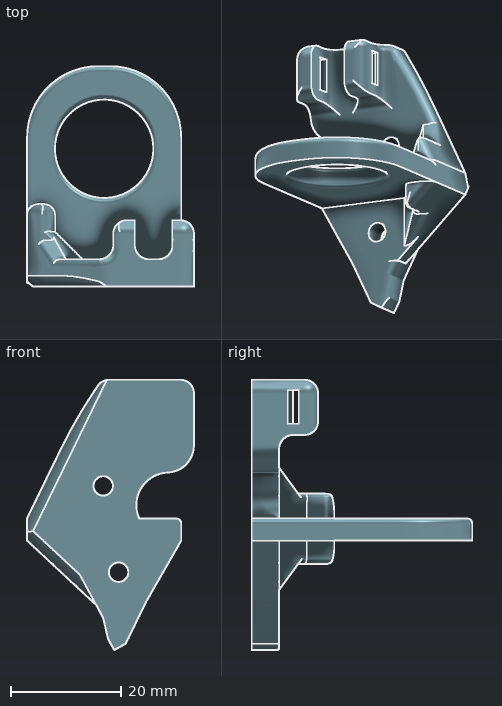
import cadquery as cq
import math


HEIGHT = 49.05
WIDTH = 30.3
DEPTH = 40.0

PLATE_WIDTH = 28.0
PLATE_BOTTOM = 19.85
PLATE_THICKNESS = 4.0
PLATE_TOP = PLATE_BOTTOM + PLATE_THICKNESS
PLATE_CORNER_RADIUS = 13.0
RING_HOLE_DIAMETER = 17.8
RING_HOLE_Y = 25.0
PLATE_EDGE_RADIUS = 1.0

WALL_THICKNESS = 5.0
SOFT_RADIUS = 2.5
BACK_EDGE_RADIUS = 1.45
FRONT_CHAMFER = 2.0
LEFT_SLOPE = math.tan(math.radians(64.0))
LEFT_STRAIGHT_TOP = 36.25
TOP_LEFT_X = 13.65
NOTCH_RADIUS = 5.9
NOTCH_X = 25.75
NOTCH_Z = 26.3
LOBE_RADIUS = 5.0
LOWER_LEFT_X = 12.25
LOWER_LEFT_Z = 8.45
TAIL_LEFT = [(9.65, 13.55), (13.8, 5.9), (14.7, 1.95), (15.85, 0.0)]
TAIL_RIGHT = [(17.9, 1.15), (21.65, 8.83)]
SCREW_HOLE_DIAMETER = 3.5
SCREW_HOLES = [(13.85, 29.75), (16.6, 14.1)]

HOOK_REACH = 12.05
HOOK_BOTTOM = 39.0
HOOK_LEFT = 15.65
ARM_WIDTH = 3.9
WINDOW_FRONT = 6.5
WINDOW_BACK = 8.55
WINDOW_BOTTOM = 41.05
WINDOW_TOP = 47.1

RIB_REACH = 15.0
RIB_END_RADIUS = 2.0
RIB_FLAT_START = 8.45
RIB_TOP = 28.4
RIB_BOTTOM = 15.6
RIB_SLOPE = math.tan(math.radians(53.7))
RIB_FOOT_WIDTH = 5.1
RIB_DRAFT = 19.4
LOWER_RIB_WIDTH = 6.05
BRACE_START_Y = 9.95
BRACE_DRAFT = 13.0
RIB_EDGE_RADIUS = 0.95
RIB_SLOPE_EDGE_RADIUS = 1.45

PICK_MARGIN = 0.05

LEFT_STRAIGHT_X = (LEFT_STRAIGHT_TOP - PLATE_TOP) / LEFT_SLOPE


def prism_y(sketch, depth):
    """Extrude an XZ outline from the front face towards +Y."""
    return sketch.extrude(-depth)


def edge_near(x, y, z):
    """Select the edge whose middle lies nearest to a point."""
    return cq.selectors.NearestToPointSelector((x, y, z))


def ring_plate():
    plate = (
        cq.Workplane("XY", origin=(0, 0, PLATE_BOTTOM))
        .rect(PLATE_WIDTH, DEPTH, centered=False)
        .extrude(PLATE_THICKNESS)
        .edges("|Z and >Y")
        .fillet(PLATE_CORNER_RADIUS)
        .faces(">Z")
        .workplane(origin=(PLATE_WIDTH / 2, RING_HOLE_Y, 0))
        .hole(RING_HOLE_DIAMETER)
    )
    plate = plate.faces(">Z").edges("not <Y").fillet(PLATE_EDGE_RADIUS)
    lower_hole_rim = edge_near(PLATE_WIDTH / 2, RING_HOLE_Y, PLATE_BOTTOM)
    return plate.faces("<Z").edges(lower_hole_rim).fillet(PLATE_EDGE_RADIUS)


def wall_front_outline():
    """Outline of the upright wall above the tail, with its side notch."""
    lobe_x = WIDTH - LOBE_RADIUS
    centre_gap = NOTCH_RADIUS + LOBE_RADIUS
    lobe_z = NOTCH_Z + math.sqrt(centre_gap**2 - (NOTCH_X - lobe_x) ** 2)
    share = NOTCH_RADIUS / centre_gap
    meet = (NOTCH_X + (lobe_x - NOTCH_X) * share, NOTCH_Z + (lobe_z - NOTCH_Z) * share)
    notch_end_x = NOTCH_X - math.sqrt(NOTCH_RADIUS**2 - (NOTCH_Z - PLATE_TOP) ** 2)
    diagonal = math.sqrt(0.5)
    lobe_mid = (lobe_x + LOBE_RADIUS * diagonal, lobe_z - LOBE_RADIUS * diagonal)
    notch_mid = (NOTCH_X - NOTCH_RADIUS * diagonal, NOTCH_Z + NOTCH_RADIUS * diagonal)
    return (
        cq.Workplane("XZ")
        .moveTo(LOWER_LEFT_X, LOWER_LEFT_Z)
        .lineTo(0, PLATE_BOTTOM)
        .lineTo(0, PLATE_TOP)
        .lineTo(LEFT_STRAIGHT_X, LEFT_STRAIGHT_TOP)
        .tangentArcPoint((TOP_LEFT_X, HEIGHT), relative=False)
        .lineTo(WIDTH, HEIGHT)
        .lineTo(WIDTH, lobe_z)
        .threePointArc(lobe_mid, meet)
        .threePointArc(notch_mid, (notch_end_x, PLATE_TOP))
        .lineTo(notch_end_x, LOWER_LEFT_Z)
        .close()
    )


def wall_plan():
    """Plan of the wall and the two hook arms with the slot between them."""
    slot_left = HOOK_LEFT + ARM_WIDTH
    slot_right = WIDTH - ARM_WIDTH
    plan = (
        cq.Workplane("XY")
        .polyline(
            [
                (0, 0),
                (WIDTH, 0),
                (WIDTH, HOOK_REACH),
                (slot_right, HOOK_REACH),
                (slot_right, WALL_THICKNESS),
                (slot_left, WALL_THICKNESS),
                (slot_left, HOOK_REACH),
                (HOOK_LEFT, HOOK_REACH),
                (HOOK_LEFT, WALL_THICKNESS),
                (0, WALL_THICKNESS),
            ]
        )
        .close()
        .extrude(HEIGHT)
    )
    inner_corners = cq.selectors.BoxSelector(
        (HOOK_LEFT - PICK_MARGIN, WALL_THICKNESS - PICK_MARGIN, 0),
        (slot_right + PICK_MARGIN, WALL_THICKNESS + PICK_MARGIN, HEIGHT),
    )
    plan = plan.edges("|Z").edges(inner_corners).fillet(SOFT_RADIUS)
    return plan.edges(edge_near(HOOK_LEFT, HOOK_REACH, HEIGHT / 2)).fillet(SOFT_RADIUS)


def wall_side():
    """Side profile of the wall and the hook, flared into the wall below the hook."""
    outline = [
        (0, 0),
        (WALL_THICKNESS, 0),
        (WALL_THICKNESS, HOOK_BOTTOM),
        (HOOK_REACH, HOOK_BOTTOM),
        (HOOK_REACH, HEIGHT),
        (0, HEIGHT),
    ]
    side = cq.Workplane("YZ").polyline(outline).close().extrude(WIDTH)
    for corner in outline[2:4]:
        side = side.edges(edge_near(WIDTH / 2, *corner)).fillet(SOFT_RADIUS)
    return side


def hook_block():
    """Box around the wall and hook with a ball-rounded upper right back corner."""
    block = cq.Workplane("XY").box(WIDTH, HOOK_REACH, HEIGHT, centered=False)
    back_top_edge = cq.selectors.StringSyntaxSelector("|X and >Y and >Z")
    right_top_edge = cq.selectors.StringSyntaxSelector("|Y and >X and >Z")
    right_back_edge = cq.selectors.StringSyntaxSelector("|Z and >X and >Y")
    return block.edges(back_top_edge + right_top_edge + right_back_edge).fillet(SOFT_RADIUS)


def windows():
    """Rectangular openings through both arms along X."""
    depth = WINDOW_BACK - WINDOW_FRONT
    arms_width = WIDTH - HOOK_LEFT
    opening = cq.Workplane("XY").box(arms_width, depth, WINDOW_TOP - WINDOW_BOTTOM, centered=False)
    return opening.translate((HOOK_LEFT, WINDOW_FRONT, WINDOW_BOTTOM))


def wall():
    """Upright wall with its hook, before the front chamfers."""
    front = prism_y(wall_front_outline(), HOOK_REACH)
    front = front.edges(edge_near(TOP_LEFT_X, HOOK_REACH / 2, HEIGHT)).fillet(SOFT_RADIUS)
    body = front.intersect(wall_plan())
    left_back_edge = edge_near(LEFT_STRAIGHT_X / 2, WALL_THICKNESS, (PLATE_TOP + LEFT_STRAIGHT_TOP) / 2)
    body = body.edges(left_back_edge).fillet(BACK_EDGE_RADIUS)
    return body.intersect(wall_side()).intersect(hook_block()).cut(windows())


def tail():
    """Lower spike of the wall, rounded along its left back edges."""
    spike = (
        cq.Workplane("XZ")
        .polyline([(PLATE_WIDTH / 2, PLATE_TOP), *TAIL_LEFT, *TAIL_RIGHT, (PLATE_WIDTH, PLATE_BOTTOM)])
        .close()
    )
    spike = prism_y(spike, WALL_THICKNESS)
    (x1, z1), (x2, z2), (x3, z3) = TAIL_LEFT[:3]
    upper_edge = edge_near((x1 + x2) / 2, WALL_THICKNESS, (z1 + z2) / 2)
    lower_edge = edge_near((x2 + x3) / 2, WALL_THICKNESS, (z2 + z3) / 2)
    return spike.edges(upper_edge + lower_edge).fillet(BACK_EDGE_RADIUS)


def rib_envelope():
    """Outer left faces and side profile shared by the ribs above and below the plate."""
    inside_x = NOTCH_X - NOTCH_RADIUS
    outer = (
        cq.Workplane("XZ")
        .polyline(
            [
                (0, PLATE_BOTTOM),
                (0, PLATE_TOP),
                (LEFT_STRAIGHT_X, LEFT_STRAIGHT_TOP),
                (inside_x, LEFT_STRAIGHT_TOP),
                (inside_x, LOWER_LEFT_Z),
                (LOWER_LEFT_X, LOWER_LEFT_Z),
            ]
        )
        .close()
    )
    outer = prism_y(outer, RIB_REACH)
    outer_end_edges = cq.selectors.BoxSelector(
        (-PICK_MARGIN, RIB_REACH - PICK_MARGIN, LOWER_LEFT_Z + PICK_MARGIN),
        (inside_x - PICK_MARGIN, RIB_REACH + PICK_MARGIN, LEFT_STRAIGHT_TOP - PICK_MARGIN),
    )
    outer = outer.edges(outer_end_edges).fillet(RIB_END_RADIUS)
    run_out = RIB_SLOPE * RIB_FLAT_START
    side = (
        cq.Workplane("YZ")
        .polyline(
            [
                (0, RIB_BOTTOM - run_out),
                (RIB_FLAT_START, RIB_BOTTOM),
                (RIB_REACH, RIB_BOTTOM),
                (RIB_REACH, RIB_TOP),
                (RIB_FLAT_START, RIB_TOP),
                (0, RIB_TOP + run_out),
            ]
        )
        .close()
        .extrude(WIDTH)
    )
    return outer.intersect(side)


def brace(foot_x, draft):
    """Block under a 45 degree face that runs from the rib foot back to the wall."""
    far = WIDTH
    return (
        cq.Workplane("XY")
        .polyline(
            [
                (foot_x - far, BRACE_START_Y + far),
                (foot_x + far, BRACE_START_Y - far),
                (foot_x - far, BRACE_START_Y - far),
            ]
        )
        .close()
        .extrude(PLATE_TOP, taper=draft)
    )


def inner_bar(foot_x, draft):
    """Bar whose +X face leans by the draft angle and whose far corner is rounded."""
    lean = PLATE_TOP * math.tan(math.radians(draft))
    bar = (
        cq.Workplane("XZ")
        .polyline([(-WIDTH, 0), (foot_x, 0), (foot_x - lean, PLATE_TOP), (-WIDTH, PLATE_TOP)])
        .close()
    )
    bar = prism_y(bar, RIB_REACH)
    return bar.edges(edge_near(foot_x - lean / 2, RIB_REACH, PLATE_TOP / 2)).fillet(RIB_END_RADIUS)


def crest_edges(crest_z):
    """Select the edges around the flat crest of a rib, apart from its border with the slope."""
    return cq.selectors.BoxSelector(
        (0, RIB_FLAT_START + PICK_MARGIN, crest_z - PICK_MARGIN),
        (NOTCH_X - NOTCH_RADIUS, RIB_REACH, crest_z + PICK_MARGIN),
    )


def upper_rib(envelope):
    inner = inner_bar(RIB_FOOT_WIDTH, RIB_DRAFT).union(brace(RIB_FOOT_WIDTH, BRACE_DRAFT))
    rib = envelope.intersect(inner.translate((0, 0, PLATE_TOP)))
    half_rise = (LEFT_STRAIGHT_TOP - RIB_TOP) / 2
    slope_edge = edge_near(
        (RIB_TOP + half_rise - PLATE_TOP) / LEFT_SLOPE,
        RIB_FLAT_START - half_rise / RIB_SLOPE,
        RIB_TOP + half_rise,
    )
    rib = rib.edges(slope_edge).fillet(RIB_SLOPE_EDGE_RADIUS)
    return rib.edges(crest_edges(RIB_TOP)).fillet(RIB_EDGE_RADIUS)


def rib_root():
    """Square fill beside the ribs at plate level, where the plate edge is not rounded."""
    root = cq.Workplane("XY").box(RIB_FOOT_WIDTH, RIB_REACH, PLATE_THICKNESS, centered=False)
    root = root.edges("|Z and >Y").fillet(RIB_END_RADIUS)
    return root.translate((0, 0, PLATE_BOTTOM))


def lower_rib(envelope):
    inner = inner_bar(LOWER_RIB_WIDTH, 0).union(brace(LOWER_RIB_WIDTH, 0))
    rib = envelope.intersect(inner.translate((0, 0, PLATE_BOTTOM - PLATE_TOP)))
    half_drop = (RIB_BOTTOM - LOWER_LEFT_Z) / 2
    slope_edge = edge_near(
        LOWER_LEFT_X * (PLATE_BOTTOM - RIB_BOTTOM + half_drop) / (PLATE_BOTTOM - LOWER_LEFT_Z),
        RIB_FLAT_START - half_drop / RIB_SLOPE,
        RIB_BOTTOM - half_drop,
    )
    rib = rib.edges(slope_edge).fillet(RIB_SLOPE_EDGE_RADIUS)
    return rib.edges(crest_edges(RIB_BOTTOM)).fillet(RIB_EDGE_RADIUS)


def front_chamfer(start, end):
    """Wedge that bevels the front edge running from start to end (XZ points), with the solid on its right."""
    run = end[0] - start[0]
    rise = end[1] - start[1]
    plane = cq.Plane(origin=(start[0], 0, start[1]), xDir=(-rise, 0, run), normal=(run, 0, rise))
    return (
        cq.Workplane(plane)
        .workplane(offset=-FRONT_CHAMFER)
        .polyline([(-FRONT_CHAMFER, 0), (FRONT_CHAMFER, 0), (FRONT_CHAMFER, -2 * FRONT_CHAMFER)])
        .close()
        .extrude(math.hypot(run, rise) + 2 * FRONT_CHAMFER)
    )


def screw_holes():
    return (
        cq.Workplane("XZ")
        .pushPoints(SCREW_HOLES)
        .circle(SCREW_HOLE_DIAMETER / 2)
        .extrude(-RIB_REACH)
    )


envelope = rib_envelope()
body = wall().union(ring_plate()).union(upper_rib(envelope)).union(lower_rib(envelope)).union(rib_root())

upper_left_end = ((HEIGHT - PLATE_TOP) / LEFT_SLOPE, HEIGHT)
body = body.cut(front_chamfer((0, PLATE_TOP), upper_left_end))
body = body.cut(front_chamfer((LOWER_LEFT_X, LOWER_LEFT_Z), (0, PLATE_BOTTOM)))

result = body.union(tail()).cut(screw_holes())